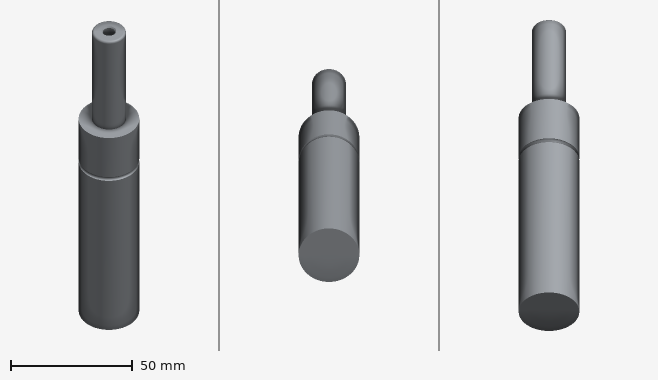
import cadquery as cq
import math

body_diameter = 25.0
body_height = 103.0

groove_radius = 1.0
groove_center_height = 81.0

overall_height = 150.0
rod_diameter = 14.0
rod_top_fillet = 1.0

hole_diameter = 5.0
hole_mouth_diameter = 6.0
hole_depth = 12.0
drill_point_angle = 118.0


def make_body():
    """Cylinder with a half-round groove around it, standing on the XY plane."""
    radius = body_diameter / 2
    profile = (
        cq.Workplane("XZ")
        .moveTo(0, 0)
        .lineTo(radius, 0)
        .lineTo(radius, groove_center_height - groove_radius)
        .threePointArc(
            (radius - groove_radius, groove_center_height),
            (radius, groove_center_height + groove_radius),
        )
        .lineTo(radius, body_height)
        .lineTo(0, body_height)
        .close()
    )
    return profile.revolve(360, (0, 0, 0), (0, 1, 0))


def make_rod():
    """Rod rising from the top of the body, rounded at its free end."""
    rod = cq.Workplane("XY").workplane(offset=body_height)
    rod = rod.circle(rod_diameter / 2).extrude(overall_height - body_height)
    return rod.faces(">Z").edges().fillet(rod_top_fillet)


def make_rod_hole():
    """Blind drilled hole with a 45 degree countersunk mouth and a conical bottom."""
    radius = hole_diameter / 2
    mouth_radius = hole_mouth_diameter / 2
    bottom_height = overall_height - hole_depth
    point_depth = radius / math.tan(math.radians(drill_point_angle / 2))
    profile = (
        cq.Workplane("XZ")
        .moveTo(0, overall_height)
        .lineTo(mouth_radius, overall_height)
        .lineTo(radius, overall_height - (mouth_radius - radius))
        .lineTo(radius, bottom_height)
        .lineTo(0, bottom_height - point_depth)
        .close()
    )
    return profile.revolve(360, (0, 0, 0), (0, 1, 0))


result = make_body().union(make_rod()).cut(make_rod_hole())